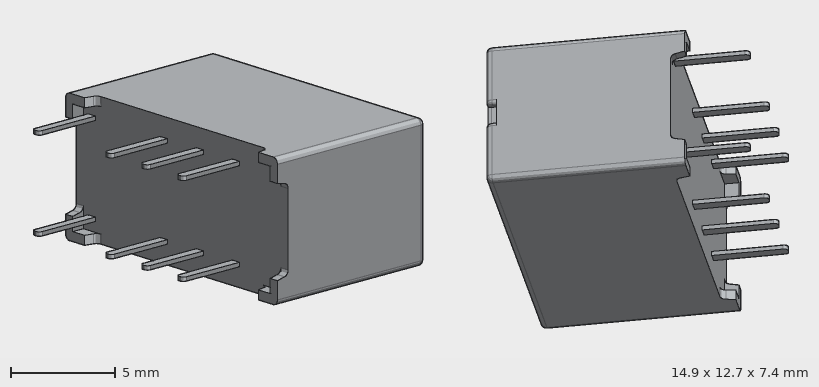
import cadquery as cq
import math

case_length = 14.9
case_height = 7.4
overall_depth = 12.7
case_fillet = 0.3

foot_height = 0.7
foot_wall = 0.5
foot_length_x = 1.34
foot_length_z = 1.27
foot_slant_x = 13.0
foot_slant_z = 12.0
foot_root_fillet = 0.3

pin_length = 3.0
pin_width = 0.5
pin_thickness = 0.22
pin_tip_fillet = 0.21
pin_pitch = 2.53
pin_grid_places = (0, 2, 3, 4)
first_pin_inset = 1.1
pin_row_spacing = 2 * pin_pitch

slot_width = 1.0
slot_length = 0.52
slot_depth = 0.36
slot_fillet = 0.21

pin_tip_y = -overall_depth / 2
foot_y = pin_tip_y + pin_length
floor_y = foot_y + foot_height
closed_y = overall_depth / 2


def make_case():
    """Rounded block from the foot ends to the closed end."""
    depth = closed_y - foot_y
    block = cq.Workplane("XY").box(case_length, depth, case_height)
    block = block.translate((0, (closed_y + foot_y) / 2, 0))
    return block.edges("|Y or >Y").fillet(case_fillet)


def make_gap(span, foot_length, slant, through):
    """Flared gap between two feet: spans X, cuts through along Z."""
    half_mouth = span / 2 - foot_length
    half_floor = half_mouth - foot_height * math.tan(math.radians(slant))
    outline = [
        (-half_mouth, foot_y),
        (half_mouth, foot_y),
        (half_floor, floor_y),
        (-half_floor, floor_y),
    ]
    gap = cq.Workplane("XY").polyline(outline).close().extrude(through / 2, both=True)
    return gap.edges("|Z and >Y").fillet(foot_root_fillet)


def make_mounting_recess():
    """Space in front of the mounting face, leaving only the L-shaped feet."""
    between_walls = cq.Workplane("XY").box(
        case_length - 2 * foot_wall, foot_height, case_height - 2 * foot_wall
    )
    between_walls = between_walls.translate((0, (foot_y + floor_y) / 2, 0))
    gap_x = make_gap(case_length, foot_length_x, foot_slant_x, case_height)
    gap_z = make_gap(case_height, foot_length_z, foot_slant_z, case_length)
    gap_z = gap_z.rotate((0, 0, 0), (0, 1, 0), 90)
    return between_walls.union(gap_x).union(gap_z)


def cut_marking_slot(case):
    """Notch the -X end where it meets the closed side, then round its rims."""
    end_x = -case_length / 2
    slot = cq.Workplane("XY").box(2 * slot_depth, 2 * slot_length, slot_width)
    case = case.cut(slot.translate((end_x, closed_y, 0)))

    slot_floor_x = end_x + slot_depth
    floor_rim = cq.selectors.NearestToPointSelector((slot_floor_x, closed_y, 0))
    case = case.edges(floor_rim).fillet(slot_fillet)

    side_y = closed_y - (slot_length + case_fillet) / 2
    for side in (-1, 1):
        side_rim = cq.selectors.NearestToPointSelector((end_x, side_y, side * slot_width / 2))
        case = case.edges(side_rim).fillet(slot_fillet)
    return case


def make_pin():
    """One flat pin with a rounded tip, rooted in the mounting face."""
    length = floor_y - pin_tip_y
    pin = cq.Workplane("XY").box(pin_width, length, pin_thickness)
    pin = pin.translate((0, (floor_y + pin_tip_y) / 2, 0))
    return pin.edges("|Z and <Y").fillet(pin_tip_fillet)


result = cut_marking_slot(make_case()).cut(make_mounting_recess())

pin = make_pin()
for place in pin_grid_places:
    pin_x = first_pin_inset - case_length / 2 + place * pin_pitch
    for side in (-1, 1):
        result = result.union(pin.translate((pin_x, 0, side * pin_row_spacing / 2)))